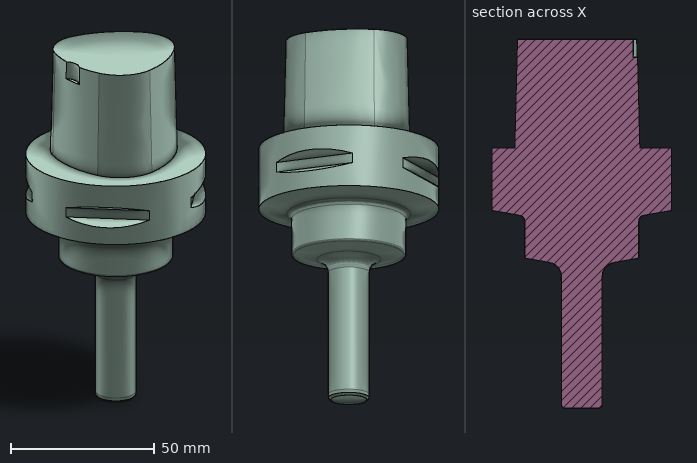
import cadquery as cq
import math

total_height = 129.0
flange_top = 91.0
flange_bottom = 69.0

flange_radius = 31.5
collar_radius = 20.0
shank_radius = 7.2
collar_corner_z = 52.4
shoulder_angle = 10.0
collar_fillet = 1.9
collar_edge_round = 0.6
shank_fillet = 4.8
shank_lead_height = 1.9
shank_lead_width = 0.1
shank_chamfer = 0.8

lobe_reach = 23.5
side_reach = 20.4
lobe_center_distance = 8.8
stem_taper = 1 / 40

slot_count = 4
slot_first_angle = 45.0
slot_center_z = 79.1
slot_floor_distance = 27.9
slot_floor_height = 3.5
slot_flank_angle = 30.0
slot_overcut = 1.3

notch_depth = 6.3
notch_radius = 5.7
notch_inner_y = -18.0


def turned_body():
    """Flange, collar and shank revolved about Z, with conical shoulders."""
    slope = math.tan(math.radians(shoulder_angle))
    flange_shoulder_z = flange_bottom - (flange_radius - collar_radius) * slope
    shank_shoulder_z = collar_corner_z - (collar_radius - shank_radius) * slope
    lead_radius = shank_radius - shank_lead_width
    body = (
        cq.Workplane("XZ")
        .moveTo(0, 0)
        .lineTo(lead_radius - shank_chamfer, 0)
        .lineTo(lead_radius, shank_chamfer)
        .lineTo(shank_radius, shank_lead_height)
        .lineTo(shank_radius, shank_shoulder_z)
        .lineTo(collar_radius, collar_corner_z)
        .lineTo(collar_radius, flange_shoulder_z)
        .lineTo(flange_radius, flange_bottom)
        .lineTo(flange_radius, flange_top)
        .lineTo(0, flange_top)
        .close()
        .revolve(360, (0, 0, 0), (0, 1, 0))
    )
    body = round_edge(body, shank_radius, shank_shoulder_z, shank_fillet)
    body = round_edge(body, collar_radius, collar_corner_z, collar_edge_round)
    return round_edge(body, collar_radius, flange_shoulder_z, collar_fillet)


def round_edge(body, edge_radius, edge_z, fillet_radius):
    """Fillet the circular edge of the given radius and height."""
    margin = 0.1
    reach = edge_radius + margin
    edge_box = cq.selectors.BoxSelector(
        (-reach, -reach, edge_z - margin), (reach, reach, edge_z + margin), boundingbox=True
    )
    return body.edges(edge_box).fillet(fillet_radius)


def polar(radius, degrees):
    angle = math.radians(degrees)
    return radius * math.cos(angle), radius * math.sin(angle)


def stem_outline(plane, inset):
    """Six tangent arcs: three tight lobes joined by three wide sides, offset inward by inset."""
    reach_difference = lobe_reach - side_reach
    side_center_distance = reach_difference * (
        (2 * lobe_center_distance - reach_difference)
        / (lobe_center_distance - 2 * reach_difference)
    )
    side_radius = side_reach + side_center_distance - inset
    lobe_x, lobe_y = polar(lobe_center_distance, -30)
    half_side_angle = math.atan2(lobe_x, side_center_distance - lobe_y)
    joint_x = side_radius * math.sin(half_side_angle)
    joint_y = side_center_distance - side_radius * math.cos(half_side_angle)
    joint_radius = math.hypot(joint_x, joint_y)
    joint_angle = math.degrees(math.atan2(joint_x, -joint_y))

    outline = plane.moveTo(*polar(joint_radius, -90 - joint_angle))
    for side_angle in (-90, 30, 150):
        outline = outline.threePointArc(
            polar(side_reach - inset, side_angle),
            polar(joint_radius, side_angle + joint_angle),
        )
        outline = outline.threePointArc(
            polar(lobe_reach - inset, side_angle + 60),
            polar(joint_radius, side_angle + 120 - joint_angle),
        )
    return outline.close()


def stem():
    height = total_height - flange_top
    base = stem_outline(cq.Workplane("XY").workplane(offset=flange_top), 0)
    end = stem_outline(base.workplane(offset=height), height * stem_taper)
    return end.loft(ruled=True, combine=True)


def gripper_slot(angle):
    """Straight slot with a flat floor and flanks that flare outward."""
    cut_depth = flange_radius - slot_floor_distance + slot_overcut
    flare = cut_depth * math.tan(math.radians(slot_flank_angle))
    floor_half = slot_floor_height / 2
    mouth_half = floor_half + flare
    mouth_distance = slot_floor_distance + cut_depth
    return (
        cq.Workplane("XZ")
        .moveTo(slot_floor_distance, slot_center_z - floor_half)
        .lineTo(mouth_distance, slot_center_z - mouth_half)
        .lineTo(mouth_distance, slot_center_z + mouth_half)
        .lineTo(slot_floor_distance, slot_center_z + floor_half)
        .close()
        .extrude(flange_radius, both=True)
        .rotate((0, 0, 0), (0, 0, 1), angle)
    )


def orientation_notch():
    return (
        cq.Workplane("XY")
        .workplane(offset=total_height - notch_depth)
        .center(0, notch_inner_y - notch_radius)
        .circle(notch_radius)
        .extrude(notch_depth)
    )


result = turned_body().union(stem())
for slot_index in range(slot_count):
    slot_angle = slot_first_angle + slot_index * 360 / slot_count
    result = result.cut(gripper_slot(slot_angle))
result = result.cut(orientation_notch())